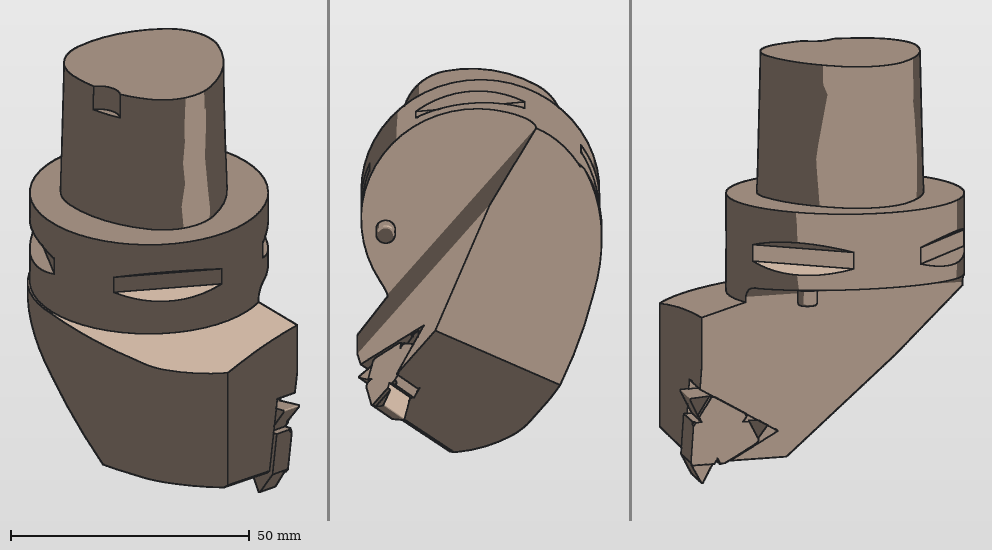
import math

import cadquery as cq


shank_length = 30.0
shank_lobe_radius = 18.6
shank_side_radius = 16.35
shank_corner_radius = 11.9
shank_draft = math.degrees(math.atan(1 / 40))
key_radius = 4.6
key_bottom_distance = 13.9
key_depth = 5.4

flange_radius = 25.0
flange_height = 20.8
slot_count = 4
slot_floor_distance = 22.2
slot_floor_height = 3.5
slot_center_z = -9.9
slot_flare_angle = 31.0

head_radius = 25.45
head_back_y = 5.05
head_front_y = -28.64
head_end_x = 34.4
head_end_draft = 1.0
front_flat_start_x = 12.3
front_flat_end_x = 18.2
sweep_angle = 24.7
sweep_radius = 48.6
nose_point_x = 23.4
nose_point_y = -27.6
end_corner_y = -19.8
head_cone_angle = 15.0

back_cut_z = -20.0
back_cut_angle = 42.3
bottom_angle = 10.0
bottom_edge_z = -55.15
face_break_z = -34.3
face_angle = 11.0
relief_rim_z = -16.0
relief_angle = 4.6
relief_fillet = 3.0
end_chamfer = 0.6

nozzle_diameter = 4.0
nozzle_neck_diameter = 2.7
nozzle_fillet = 0.5
nozzle_y = 14.1
nozzle_x = nozzle_y
nozzle_shoulder_z = -17.3
nozzle_end_z = -20.6

insert_tilt = 10.0
insert_thickness = 5.8
insert_side_distance = 6.35
insert_center_x = 28.7
insert_tip_y = -0.13
insert_tip_z = -59.71
tooth_count = 3
tooth_offset = 3.5
tooth_reach = 10.904
tooth_half_angle = 30.0
tooth_nose_radius = 0.25
notch_position = 3.0
rake_depth_z = -55.7
pocket_clearance = 10.0

reach = 100.0


def tan_deg(angle):
    return math.tan(math.radians(angle))


def turned(point, angle):
    c = math.cos(math.radians(angle))
    s = math.sin(math.radians(angle))
    return (point[0] * c - point[1] * s, point[0] * s + point[1] * c)


def make_shank():
    corner_center = turned((shank_lobe_radius - shank_corner_radius, 0), -30)
    gap = shank_side_radius + corner_center[1]
    side_arc_radius = (corner_center[0] ** 2 + gap**2 - shank_corner_radius**2) / (
        2 * (gap - shank_corner_radius)
    )
    side_center_y = side_arc_radius - shank_side_radius
    ratio = side_arc_radius / (side_arc_radius - shank_corner_radius)
    join_x = corner_center[0] * ratio
    join_y = side_center_y + (corner_center[1] - side_center_y) * ratio

    outline = cq.Workplane("XY").moveTo(-join_x, join_y)
    for turn in (0, 120, 240):
        outline = outline.threePointArc(
            turned((0, -shank_side_radius), turn), turned((join_x, join_y), turn)
        )
        outline = outline.threePointArc(
            turned((shank_lobe_radius, 0), turn - 30), turned((-join_x, join_y), turn + 120)
        )
    shank = outline.close().extrude(shank_length, taper=shank_draft)

    key = (
        cq.Workplane("XY", origin=(0, 0, shank_length))
        .center(0, -key_bottom_distance - key_radius)
        .circle(key_radius)
        .extrude(-key_depth)
    )
    return shank.cut(key)


def make_flange():
    flange = cq.Workplane("XY").circle(flange_radius).extrude(-flange_height)
    floor_half = slot_floor_height / 2
    flare_length = flange_radius
    mouth_half = floor_half + flare_length * tan_deg(slot_flare_angle)
    slot = (
        cq.Workplane("XZ", origin=(0, 0, slot_center_z))
        .moveTo(slot_floor_distance, -floor_half)
        .lineTo(slot_floor_distance + flare_length, -mouth_half)
        .lineTo(slot_floor_distance + flare_length, mouth_half)
        .lineTo(slot_floor_distance, floor_half)
        .close()
        .extrude(flange_radius, both=True)
    )
    for i in range(slot_count):
        flange = flange.cut(slot.rotate((0, 0, 0), (0, 0, 1), (i + 0.5) * 360 / slot_count))
    return flange


def make_head():
    rim_join = turned((0, -head_radius), -sweep_angle)
    sweep_start = (
        front_flat_start_x - sweep_radius * math.sin(math.radians(sweep_angle)),
        head_front_y + sweep_radius * (1 - math.cos(math.radians(sweep_angle))),
    )
    end_corner_x = head_end_x - (head_back_y - end_corner_y) * tan_deg(head_end_draft)
    rim_start = (-math.sqrt(head_radius**2 - head_back_y**2), head_back_y)

    outline = (
        cq.Workplane("XY")
        .moveTo(head_end_x, head_back_y)
        .lineTo(*rim_start)
        .threePointArc(turned((0, -head_radius), -60), rim_join)
        .lineTo(*sweep_start)
        .tangentArcPoint((front_flat_start_x, head_front_y), relative=False)
        .lineTo(front_flat_end_x, head_front_y)
        .tangentArcPoint((nose_point_x, nose_point_y), relative=False)
        .tangentArcPoint((end_corner_x, end_corner_y), relative=False)
        .close()
    )
    head = outline.extrude(-reach)

    cone = (
        cq.Workplane("XZ")
        .moveTo(0, -flange_height)
        .lineTo(flange_radius, -flange_height)
        .lineTo(reach, -flange_height - (reach - flange_radius) * tan_deg(head_cone_angle))
        .lineTo(reach, -reach)
        .lineTo(0, -reach)
        .close()
        .revolve(360, (0, 0, 0), (0, 1, 0))
    )
    head = head.intersect(cone)

    bottom_edge_y = head_back_y - (face_break_z - bottom_edge_z) * tan_deg(face_angle)
    below = (
        cq.Workplane("YZ")
        .moveTo(bottom_edge_y + reach, bottom_edge_z - reach * tan_deg(bottom_angle))
        .lineTo(bottom_edge_y - reach, bottom_edge_z + reach * tan_deg(bottom_angle))
        .lineTo(bottom_edge_y - reach, -2 * reach)
        .lineTo(bottom_edge_y + reach, -2 * reach)
        .close()
        .extrude(reach, both=True)
    )
    face = (
        cq.Workplane("YZ")
        .moveTo(head_back_y, face_break_z)
        .lineTo(head_back_y - reach * tan_deg(face_angle), face_break_z - reach)
        .lineTo(head_back_y, face_break_z - reach)
        .close()
        .extrude(reach, both=True)
    )
    head = head.cut(below).cut(face)
    return head.faces("<Z").edges(">X").chamfer(end_chamfer)


def make_back_cut():
    return (
        cq.Workplane("XZ")
        .moveTo(-flange_radius, back_cut_z)
        .lineTo(-flange_radius + reach, back_cut_z - reach * tan_deg(back_cut_angle))
        .lineTo(-reach, back_cut_z - reach * tan_deg(back_cut_angle))
        .lineTo(-reach, back_cut_z)
        .close()
        .extrude(reach, both=True)
    )


def make_relief_cut():
    inner_z = relief_rim_z - (flange_radius - head_back_y) * tan_deg(relief_angle)
    outer_z = relief_rim_z + (reach - flange_radius) * tan_deg(relief_angle)
    return (
        cq.Workplane("YZ")
        .moveTo(head_back_y, inner_z)
        .lineTo(reach, outer_z)
        .lineTo(reach, -reach)
        .lineTo(head_back_y, -reach)
        .close()
        .extrude(reach, both=True)
        .faces("<Y")
        .edges(">Z")
        .fillet(relief_fillet)
    )


def make_nozzle():
    head = (
        cq.Workplane("XY", origin=(nozzle_x, nozzle_y, nozzle_end_z))
        .circle(nozzle_diameter / 2)
        .extrude(nozzle_shoulder_z - nozzle_end_z)
        .faces("<Z")
        .edges()
        .fillet(nozzle_fillet)
    )
    neck = (
        cq.Workplane("XY", origin=(nozzle_x, nozzle_y, nozzle_shoulder_z))
        .circle(nozzle_neck_diameter / 2)
        .extrude(relief_rim_z - nozzle_shoulder_z)
    )
    return head.union(neck)


tilt_sin = math.sin(math.radians(insert_tilt))
tilt_cos = math.cos(math.radians(insert_tilt))
tip_to_center = tooth_reach - tooth_nose_radius
insert_center = cq.Vector(
    insert_center_x,
    insert_tip_y + tip_to_center * tilt_sin,
    insert_tip_z + tip_to_center * tilt_cos,
)
insert_normal = cq.Vector(0, -tilt_cos, tilt_sin)
insert_plane = cq.Plane(insert_center, xDir=(1, 0, 0), normal=insert_normal)


def make_insert_plate():
    spread = tan_deg(tooth_half_angle)
    tip = (tooth_offset, -tooth_reach)
    flank_end = (insert_side_distance, -tooth_reach + (insert_side_distance - tooth_offset) / spread)
    notch = (insert_side_distance, notch_position)
    next_tip = turned(tip, 120)
    notch_root = (next_tip[0] - (next_tip[1] - notch_position) * spread, notch_position)

    points = []
    for i in range(tooth_count):
        points += [turned(p, i * 360 / tooth_count) for p in (tip, flank_end, notch, notch_root)]
    plate = cq.Workplane(insert_plane).polyline(points).close().extrude(insert_thickness)

    for i in range(tooth_count):
        x, y = turned(tip, i * 360 / tooth_count)
        point = insert_plane.toWorldCoords((x, y, insert_thickness / 2))
        plate = plate.edges(cq.selectors.NearestToPointSelector(point.toTuple())).fillet(tooth_nose_radius)
    return plate


def make_insert():
    insert = make_insert_plate()
    facet_corner = (insert_center_x + tooth_offset, insert_tip_y, rake_depth_z)
    facet = cq.Workplane("XY", origin=facet_corner).box(
        2 * insert_side_distance, reach, reach, centered=(True, False, False)
    ).translate((0, 0, -reach))
    axis_end = insert_center + insert_normal
    for i in range(tooth_count):
        turn = i * 360 / tooth_count
        insert = insert.cut(facet.rotate(insert_center.toTuple(), axis_end.toTuple(), turn))
    return insert


def make_pocket():
    seat_plane = cq.Plane(
        insert_center - insert_normal * pocket_clearance, xDir=(1, 0, 0), normal=insert_normal
    )
    vertices = [turned((2 * insert_side_distance, 0), angle) for angle in (-60, 60, 180)]
    seat = cq.Workplane(seat_plane).polyline(vertices).close().extrude(pocket_clearance + insert_thickness)
    return seat.union(make_insert_plate())


holder = make_flange().union(make_head())
holder = holder.cut(make_back_cut()).cut(make_relief_cut())
holder = holder.union(make_shank()).union(make_nozzle()).cut(make_pocket())

insert = make_insert()

result = cq.Compound.makeCompound([holder.val(), insert.val()])